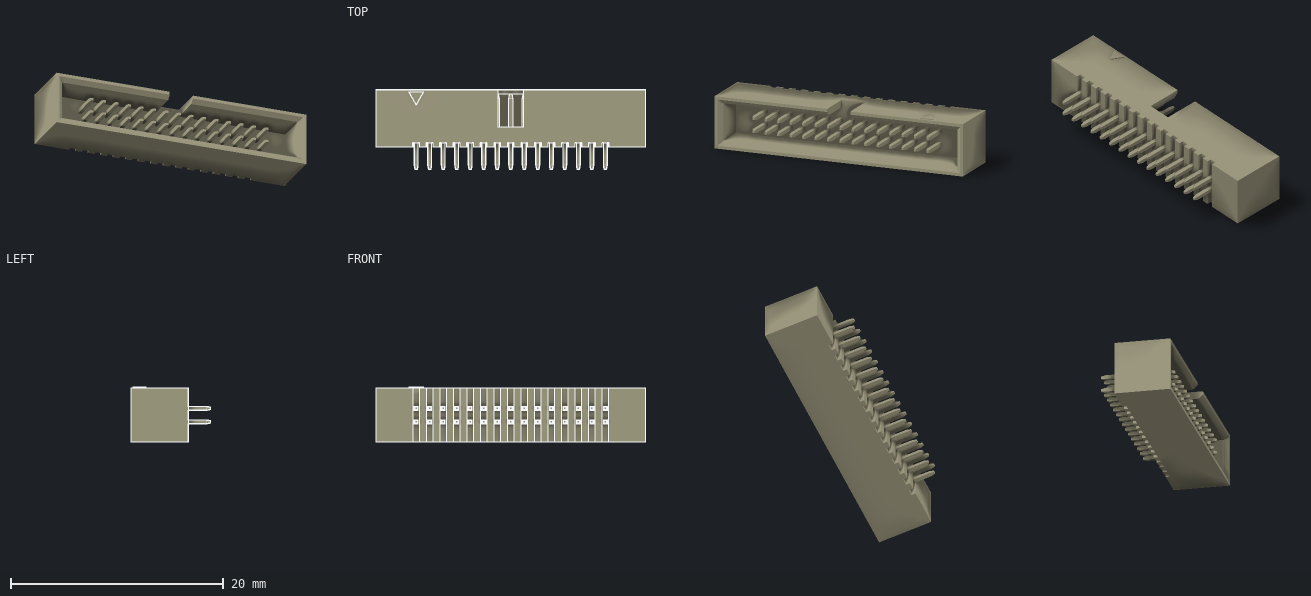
import cadquery as cq


LENGTH = 25.35
DEPTH = 5.4
HEIGHT = 5.1

ROW_SPAN = 17.77
PINS_PER_ROW = 15
ROWS = 2
PITCH = ROW_SPAN / (PINS_PER_ROW - 1)
PIN_XS = [(i - (PINS_PER_ROW - 1) / 2) * PITCH for i in range(PINS_PER_ROW)]
PIN_ZS = [(i - (ROWS - 1) / 2) * PITCH for i in range(ROWS)]

PIN_WIDTH = 0.38
TIP_WIDTH = 0.23
TIP_LENGTH = 0.4
TAIL_LENGTH = 2.1
PIN_RECESS = 0.4

WALL = 0.7
CAVITY_DEPTH = 3.5
MOUTH_FLARE = 0.4

NOTCH_WIDTH = 2.35

GROOVE_WIDTH = 0.6
GROOVE_DEPTH = 0.4

MARK_WIDTH = 1.37
MARK_LENGTH = 1.22
MARK_HEIGHT = 0.1
MARK_MARGIN = 0.23


def block(size_x, y_start, y_end, size_z, x=0.0, z=0.0):
    """Box centred on x and z that spans y_start to y_end."""
    return (
        cq.Workplane("XY")
        .box(size_x, y_end - y_start, size_z)
        .translate((x, (y_start + y_end) / 2, z))
    )


def frustum(y_start, size_start, y_end, size_end):
    """Rectangular frustum along Y, lofted between two (x, z) sizes."""
    return (
        cq.Workplane("XZ", origin=(0, y_start, 0))
        .rect(*size_start)
        .workplane(offset=y_start - y_end)
        .rect(*size_end)
        .loft(ruled=True)
    )


def cavity():
    """Mating pocket with a flared mouth."""
    inner = (LENGTH - 2 * WALL, HEIGHT - 2 * WALL)
    mouth = (inner[0] + 2 * MOUTH_FLARE, inner[1] + 2 * MOUTH_FLARE)
    pocket = block(inner[0], DEPTH - CAVITY_DEPTH, DEPTH, inner[1])
    return pocket.union(frustum(DEPTH - MOUTH_FLARE, inner, DEPTH, mouth))


def notch():
    """Slot through the top wall, open at the mouth."""
    return block(NOTCH_WIDTH, DEPTH - CAVITY_DEPTH, DEPTH, HEIGHT / 2, z=HEIGHT / 4)


def grooves():
    """One full-height groove per pin column in the tail face."""
    cutter = cq.Workplane("XY")
    for x in PIN_XS:
        cutter = cutter.add(block(GROOVE_WIDTH, 0, GROOVE_DEPTH, HEIGHT, x=x))
    return cutter.combine()


def first_pin_mark():
    """Triangle on the top face, pointing at the first tail."""
    base_y = DEPTH - MARK_MARGIN
    return (
        cq.Workplane("XY", origin=(PIN_XS[0], base_y, HEIGHT / 2))
        .polyline([(-MARK_WIDTH / 2, 0), (MARK_WIDTH / 2, 0), (0, -MARK_LENGTH)])
        .close()
        .extrude(MARK_HEIGHT)
    )


def pin():
    """Square pin on the Y axis, tapered at both ends."""
    tail_end = -TAIL_LENGTH
    mating_end = DEPTH - PIN_RECESS
    shank_start = tail_end + TIP_LENGTH
    shank_end = mating_end - TIP_LENGTH
    shank_section = (PIN_WIDTH, PIN_WIDTH)
    tip_section = (TIP_WIDTH, TIP_WIDTH)
    return (
        block(PIN_WIDTH, shank_start, shank_end, PIN_WIDTH)
        .union(frustum(tail_end, tip_section, shank_start, shank_section))
        .union(frustum(shank_end, shank_section, mating_end, tip_section))
    )


housing = block(LENGTH, 0, DEPTH, HEIGHT)
housing = housing.cut(cavity()).cut(notch()).cut(grooves()).union(first_pin_mark())

single_pin = pin()
result = housing
for pin_x in PIN_XS:
    for pin_z in PIN_ZS:
        result = result.union(single_pin.translate((pin_x, 0, pin_z)))